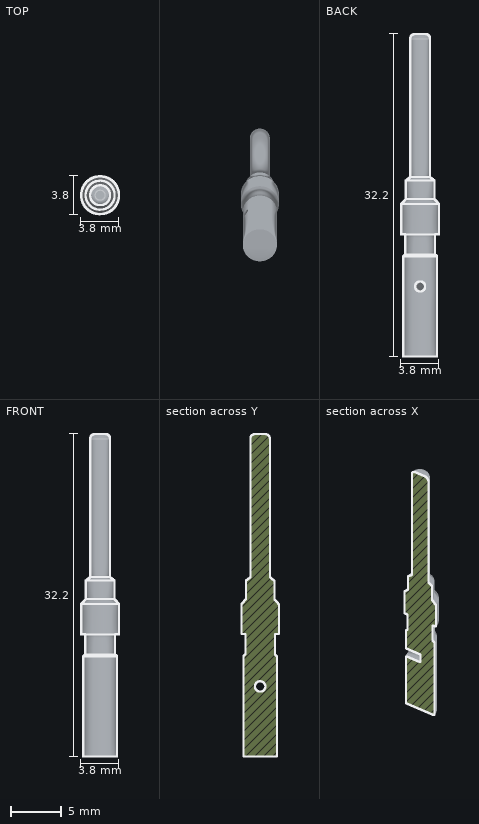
import cadquery as cq
import math

barrel_edge_height = 10.0
collar_bottom = 12.2
collar_edge_height = 15.2
shoulder_bottom = 15.7
shoulder_edge_height = 17.55
pin_bottom = 17.9
total_height = 32.2

barrel_radius = 1.7
neck_radius = 1.5
collar_radius = 1.9
shoulder_radius = 1.45
pin_radius = 1.0
tip_rounding = 0.5

inspection_hole_diameter = 1.0
inspection_hole_height = 7.0


def make_turned_body():
    """Revolve the half profile of the contact about the Z axis."""
    neck_bottom = barrel_edge_height + barrel_radius - neck_radius
    tip_start = total_height - tip_rounding
    tip_flat_radius = pin_radius - tip_rounding

    arc_offset = tip_rounding * math.sqrt(0.5)
    arc_middle = (tip_flat_radius + arc_offset, tip_start + arc_offset)

    profile = (
        cq.Workplane("XZ")
        .moveTo(0, 0)
        .lineTo(barrel_radius, 0)
        .lineTo(barrel_radius, barrel_edge_height)
        .lineTo(neck_radius, neck_bottom)
        .lineTo(neck_radius, collar_bottom)
        .lineTo(collar_radius, collar_bottom)
        .lineTo(collar_radius, collar_edge_height)
        .lineTo(shoulder_radius, shoulder_bottom)
        .lineTo(shoulder_radius, shoulder_edge_height)
        .lineTo(pin_radius, pin_bottom)
        .lineTo(pin_radius, tip_start)
        .threePointArc(arc_middle, (tip_flat_radius, total_height))
        .lineTo(0, total_height)
        .close()
    )
    return profile.revolve(360, (0, 0, 0), (0, 1, 0))


def make_inspection_hole():
    """Cylinder reaching from the axis out through the +Y side of the barrel."""
    return (
        cq.Workplane("XZ")
        .center(0, inspection_hole_height)
        .circle(inspection_hole_diameter / 2)
        .extrude(-collar_radius)
    )


result = make_turned_body().cut(make_inspection_hole())